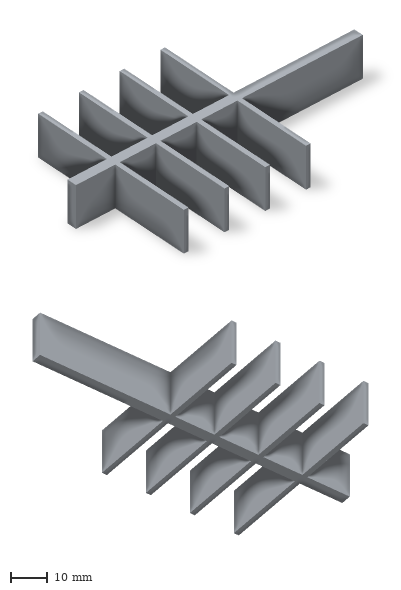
import cadquery as cq

spine_length = 106.1
spine_thickness = 3.5
height = 15.0

fin_span = 60.5
fin_thickness = 1.7
fin_count = 4
fin_pitch = 15.1
first_fin_offset = 15.4

spine = cq.Workplane("XY").box(spine_thickness, spine_length, height)

first_fin_y = -spine_length / 2 + first_fin_offset
fin_centers = [(0, first_fin_y + i * fin_pitch) for i in range(fin_count)]
fins = cq.Workplane("XY").pushPoints(fin_centers).box(fin_span, fin_thickness, height)

result = spine.union(fins)